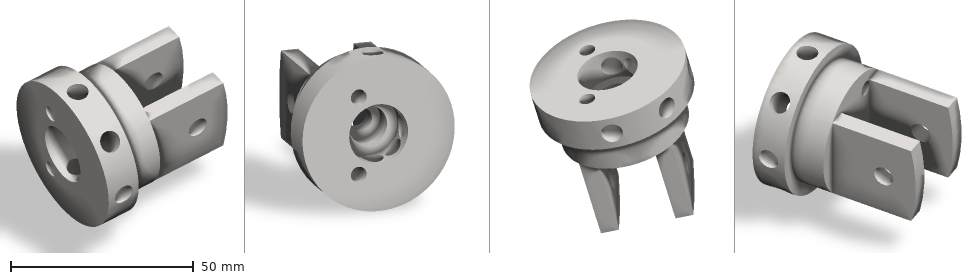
import cadquery as cq

total_length = 46.0
flange_diameter = 44.0
hub_diameter = 36.0
disc_thickness = 10.0
base_length = 2 * disc_thickness

front_bore = (17.0, 9.0)
middle_bore = (11.0, 15.0)
through_bore = (6.4, base_length)

pin_hole_diameter = 4.5
pin_hole_x = -5.75
pin_hole_z = 11.05

cross_hole_diameter = 6.0
radial_hole_angles = (-90, -45, 0, 45, 90)

arm_gap = 16.0
arm_thickness = 5.0
arm_width = 25.0
arm_tip_radius = 55.2
arm_hole_y = 36.0


def cylinder_along_y(diameter, length, start=0.0, x=0.0, z=0.0):
    solid = cq.Solid.makeCylinder(diameter / 2, length, cq.Vector(x, start, z), cq.Vector(0, 1, 0))
    return cq.Workplane(obj=solid)


def radial_hole(angle):
    """Hole from the axis out through the flange rim at mid thickness."""
    start = cq.Vector(0, disc_thickness / 2, 0)
    solid = cq.Solid.makeCylinder(cross_hole_diameter / 2, flange_diameter, start, cq.Vector(1, 0, 0))
    return cq.Workplane(obj=solid.rotate(cq.Vector(0, 0, 0), cq.Vector(0, 1, 0), -angle))


def make_base():
    base = cylinder_along_y(flange_diameter, disc_thickness)
    base = base.union(cylinder_along_y(hub_diameter, disc_thickness, disc_thickness))
    for diameter, depth in (front_bore, middle_bore, through_bore):
        base = base.cut(cylinder_along_y(diameter, depth))
    for z in (-pin_hole_z, pin_hole_z):
        base = base.cut(cylinder_along_y(pin_hole_diameter, base_length, x=pin_hole_x, z=z))
    for angle in radial_hole_angles:
        base = base.cut(radial_hole(angle))
    return base


def make_arm(inner_x):
    """Flat arm with a gently rounded tip and a cross hole."""
    half_width = arm_width / 2
    tip_rise = arm_tip_radius - (arm_tip_radius**2 - half_width**2) ** 0.5
    shoulder_y = total_length - tip_rise
    return (
        cq.Workplane("YZ", origin=(inner_x, 0, 0))
        .moveTo(base_length, -half_width)
        .lineTo(shoulder_y, -half_width)
        .threePointArc((total_length, 0), (shoulder_y, half_width))
        .lineTo(base_length, half_width)
        .close()
        .moveTo(arm_hole_y, 0)
        .circle(cross_hole_diameter / 2)
        .extrude(arm_thickness)
    )


result = make_base()
for inner_x in (arm_gap / 2, -arm_gap / 2 - arm_thickness):
    result = result.union(make_arm(inner_x))